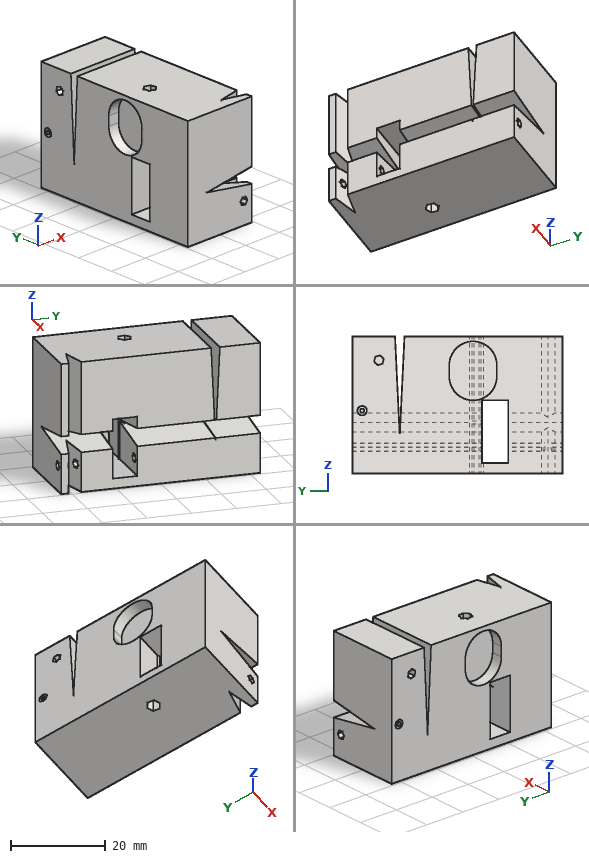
import cadquery as cq

WIDTH = 19.0
LENGTH = 44.55
HEIGHT = 29.15

TOP_WEDGE_Y = 34.55
TOP_WEDGE_MOUTH = 1.95
TOP_WEDGE_DEPTH = 20.6
SIDE_WEDGE_Z = 10.9
SIDE_WEDGE_MOUTH = 4.0
SIDE_WEDGE_DEPTH = 13.33
CORNER_WEDGE_Y = 3.1
CORNER_WEDGE_MOUTH = 2.85
CORNER_WEDGE_DEPTH = 6.05

POCKET_Y = 19.0
POCKET_WIDTH = 10.07
POCKET_TOP = 28.1
WINDOW_Y = 14.3
WINDOW_WIDTH = 5.53
WINDOW_BOTTOM = 2.27
WINDOW_HEIGHT = 13.3
WINDOW_TOP = WINDOW_BOTTOM + WINDOW_HEIGHT
POCKET_HEIGHT = POCKET_TOP - WINDOW_TOP
POCKET_DEPTH = 2.9

SHAFT_X = 6.6
SHAFT_Y = 18.3
SHAFT_ACROSS_CORNERS = 3.0
SHAFT_TURN = 39.0
SOCKET_Y = 38.95
SOCKET_Z = 24.05
SOCKET_ACROSS_CORNERS = 2.15
SOCKET_TURN = 18.0
LONG_HOLE_X = 16.62
LONG_HOLE_Z = 5.65
LONG_HOLE_ACROSS_CORNERS = 2.0
LONG_HOLE_TURN = -5.0

RING_DIAMETER = 2.0
PIN_DIAMETER = 0.9
PIN_Y = 42.5
PIN_Z = 13.35

BLIND_DEPTH = 4.45


def left_face(y, z):
    """Workplane on the left face at (y, z): local x runs toward -Y and extrusion goes into the block."""
    return cq.Workplane(cq.Plane(origin=(0, y, z), xDir=(0, -1, 0), normal=(-1, 0, 0)))


def wedge(workplane, mouth, depth, run):
    """Triangular prism with its mouth centred on the local origin and its tip along local -y."""
    return workplane.polyline([(-mouth / 2, 0), (mouth / 2, 0), (0, -depth)]).close().extrude(-run)


def hexagonal_hole(workplane, across_corners, turn, depth):
    """Hexagonal prism running into the block from the workplane, turned in degrees about its axis."""
    return workplane.transformed(rotate=(0, 0, turn)).polygon(6, across_corners).extrude(-depth)


block = cq.Workplane("XY").box(WIDTH, LENGTH, HEIGHT, centered=False)

top_wedge = wedge(left_face(TOP_WEDGE_Y, HEIGHT), TOP_WEDGE_MOUTH, TOP_WEDGE_DEPTH, WIDTH)
side_plane = cq.Plane(origin=(WIDTH, 0, SIDE_WEDGE_Z), xDir=(0, 0, -1), normal=(0, -1, 0))
side_wedge = wedge(cq.Workplane(side_plane), SIDE_WEDGE_MOUTH, SIDE_WEDGE_DEPTH, LENGTH)
corner_plane = cq.Plane(origin=(WIDTH, CORNER_WEDGE_Y, HEIGHT), xDir=(0, -1, 0), normal=(0, 0, 1))
corner_wedge = wedge(cq.Workplane(corner_plane), CORNER_WEDGE_MOUTH, CORNER_WEDGE_DEPTH, HEIGHT)

pocket_z = (WINDOW_TOP + POCKET_TOP) / 2
pocket = left_face(POCKET_Y, pocket_z).slot2D(POCKET_HEIGHT, POCKET_WIDTH, 90).extrude(-POCKET_DEPTH)
window_z = WINDOW_BOTTOM + WINDOW_HEIGHT / 2
window = left_face(WINDOW_Y, window_z).rect(WINDOW_WIDTH, WINDOW_HEIGHT).extrude(-WIDTH)

shaft_plane = cq.Workplane("XY", origin=(SHAFT_X, SHAFT_Y, HEIGHT))
shaft = hexagonal_hole(shaft_plane, SHAFT_ACROSS_CORNERS, SHAFT_TURN, HEIGHT)
socket = hexagonal_hole(left_face(SOCKET_Y, SOCKET_Z), SOCKET_ACROSS_CORNERS, SOCKET_TURN, BLIND_DEPTH)

long_hole_plane = cq.Workplane("XZ", origin=(LONG_HOLE_X, 0, LONG_HOLE_Z))
long_hole = hexagonal_hole(long_hole_plane, LONG_HOLE_ACROSS_CORNERS, LONG_HOLE_TURN, LENGTH)
pin_ring = (
    left_face(PIN_Y, PIN_Z)
    .circle(RING_DIAMETER / 2)
    .circle(PIN_DIAMETER / 2)
    .extrude(-BLIND_DEPTH)
)

result = block
for cutter in (top_wedge, side_wedge, corner_wedge, pocket, window, shaft, socket, long_hole, pin_ring):
    result = result.cut(cutter)